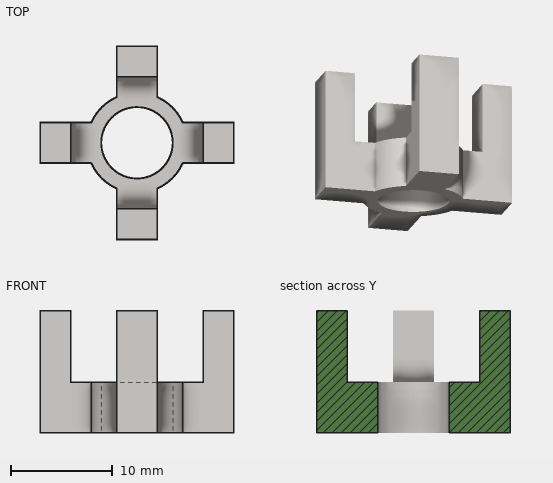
import cadquery as cq

span = 19.0
total_height = 12.0
base_height = 5.0
arm_width = 4.0
post_depth = 3.0
ring_diameter = 9.85
bore_diameter = 7.0

post_height = total_height - base_height
post_center = (span - post_depth) / 2


def make_base():
    """Round hub crossed by two full-length arms, with a central through bore."""
    hub = cq.Workplane("XY").circle(ring_diameter / 2).extrude(base_height)
    arm_x = cq.Workplane("XY").rect(span, arm_width).extrude(base_height)
    arm_y = cq.Workplane("XY").rect(arm_width, span).extrude(base_height)
    bore = cq.Workplane("XY").circle(bore_diameter / 2).extrude(base_height)
    return hub.union(arm_x).union(arm_y).cut(bore)


def make_post(angle):
    """Upright post at the outer end of the arm at the given angle."""
    post = (
        cq.Workplane("XY")
        .workplane(offset=base_height)
        .center(post_center, 0)
        .rect(post_depth, arm_width)
        .extrude(post_height)
    )
    return post.rotate((0, 0, 0), (0, 0, 1), angle)


result = make_base()
for arm_angle in (0, 90, 180, 270):
    result = result.union(make_post(arm_angle))